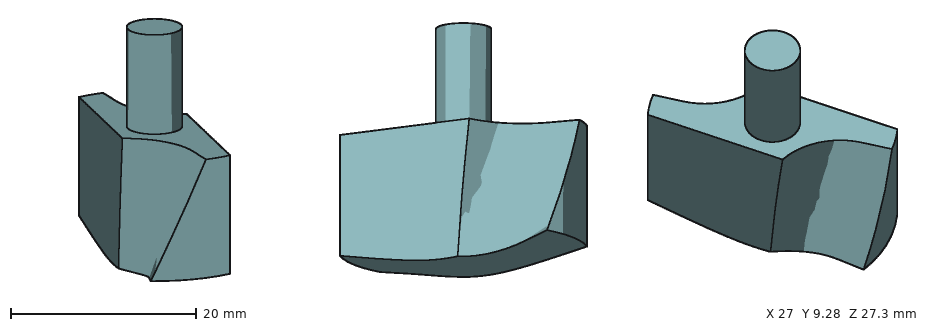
import cadquery as cq
import math

total_height = 27.3
body_height = 16.1
tip_height = 2.73
body_radius = 13.5
blade_thickness = 9.28
shank_diameter = 6.0

flute_radius = 8.14
face_start_x = 10.05
face_start_y = 1.23
face_angle = 7.9
flute_reach = 16.38
flute_depth = 12.28
twist_per_unit = 1.941


def make_blade():
    """Pointed round body with two flat sides."""
    pointed_body = (
        cq.Workplane("XZ")
        .moveTo(0, 0)
        .lineTo(body_radius, tip_height)
        .lineTo(body_radius, body_height)
        .lineTo(0, body_height)
        .close()
        .revolve(360, (0, 0, 0), (0, 1, 0))
    )
    slab = cq.Workplane("XY").box(
        2 * body_radius, blade_thickness, body_height, centered=(True, True, False)
    )
    return pointed_body.intersect(slab)


def make_flute():
    """Helical cutter whose section matches the flute at the top of the blade."""
    slope = math.radians(face_angle)
    center_x = face_start_x + flute_radius * math.sin(slope)
    center_y = face_start_y - flute_radius * math.cos(slope)
    left_x = center_x - flute_radius
    middle = (math.pi + math.pi / 2 + slope) / 2
    arc_middle = (
        center_x + flute_radius * math.cos(middle),
        center_y + flute_radius * math.sin(middle),
    )
    face_end_y = face_start_y + (flute_reach - face_start_x) * math.tan(slope)
    total_twist = twist_per_unit * body_height

    return (
        cq.Workplane("XY")
        .transformed(rotate=(0, 0, -total_twist))
        .moveTo(left_x, center_y)
        .threePointArc(arc_middle, (face_start_x, face_start_y))
        .lineTo(flute_reach, face_end_y)
        .lineTo(flute_reach, -flute_depth)
        .lineTo(left_x, -flute_depth)
        .close()
        .twistExtrude(body_height, total_twist)
    )


blade = make_blade()
flute = make_flute()
for turn in (0, 180):
    blade = blade.cut(flute.rotate((0, 0, 0), (0, 0, 1), turn))

shank = (
    cq.Workplane("XY")
    .workplane(offset=body_height)
    .circle(shank_diameter / 2)
    .extrude(total_height - body_height)
)

result = blade.union(shank)